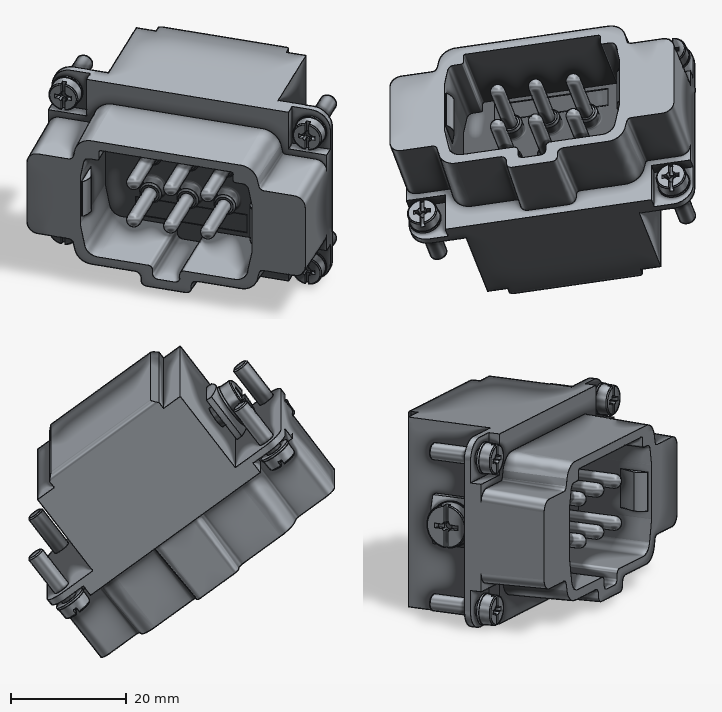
import cadquery as cq
import math


length = 50.4
height = 33.9
depth = 33.7
flange_thickness = 3.3
flange_corner_radius = 3.55
shroud_depth = 12.2
body_width = 30.75
body_back = 19.15
ridge_width = 23.6
ridge_back = depth - shroud_depth
ridge_bevel = 1.05

seat_length = 6.9
seat_height = 7.35
seat_depth = 2.05

draft_angle = 2.0
wing_half_height = 8.0
wing_corner_radius = 2.0
neck_root_x = 17.0
neck_root_radius = 0.9
crown_half_height = 12.4
crown_half_width = 16.0
crown_radius = 3.05
key_half_width = 4.55
key_bottom = 15.0
key_root_radius = 1.1
key_corner_radius = 1.0

cavity_floor = 2.0
cavity_half_width = 15.5
cavity_half_height = 10.75
cavity_straight = 4.85
cavity_wall_radius = 0.4
cavity_shoulder_x = 14.75
cavity_shoulder_z = 8.7
cavity_shoulder_radius = 1.15
cavity_step_x = 12.15
cavity_step_radius = 0.4
cavity_base_x = 14.35
cavity_base_radius = 2.35
keyway_half_width = 2.45
keyway_bottom = 13.25
keyway_root_radius = 0.8
keyway_corner_radius = 1.0

latch_half_height = 3.5
latch_crest_x = 14.45
latch_tip_x = 15.3
latch_ramp_start = -6.15
latch_crest_y = -9.3
latch_tip_y = -11.5

contact_pitch_x = 6.7
contact_pitch_z = 7.5
contact_diameter = 2.5
contact_tip = -10.75
collar_diameter = 4.0
collar_top_diameter = 3.3
collar_height = 2.25
collar_root_radius = 0.5
plate_length = 20.15
plate_height = 3.6
plate_center_z = 8.1
plate_recess = 0.2

screw_x = 22.1
screw_z = 13.5
screw_shank_diameter = 2.95
screw_end = 11.0
screw_end_chamfer = 0.25
screw_seat_y = 1.05
screw_head_diameter = 5.6
screw_head_height = 2.55
screw_slot_width = 0.7
screw_slot_depth = 0.95
screw_cross_length = 3.0

earth_y = 8.8
earth_shank_diameter = 4.0
earth_head_diameter = 8.0
earth_head_top = -21.25
earth_slot_width = 0.8
earth_slot_depth = 0.8
earth_cross_length = 4.55
clamp_size = 8.75
clamp_back = -16.6
clamp_edge_thickness = 1.05
clamp_thickness = 2.05

rim_height = 0.4
rim_step = 0.1
head_taper = 2.0
head_chamfer = 0.2
cross_end_slope = 0.4
drive_hole_diameter = 1.7
drive_hole_floor_diameter = 1.3
drive_hole_depth = 1.3

overlap = 0.5


def facing_front(y):
    """Workplane at the given Y whose extrusions run towards -Y."""
    return cq.Workplane("XZ", origin=(0, y, 0))


def rounded_outline(plane, corners):
    """Closed outline through (x, z, radius) corners, rounded by tangent arcs."""
    arcs = []
    for i, (x, z, radius) in enumerate(corners):
        corner = cq.Vector(x, z)
        before = cq.Vector(*corners[i - 1][:2])
        after = cq.Vector(*corners[(i + 1) % len(corners)][:2])
        to_before = (before - corner).normalized()
        to_after = (after - corner).normalized()
        half_angle = to_before.getAngle(to_after) / 2
        setback = radius / math.tan(half_angle)
        bisector = (to_before + to_after).normalized()
        middle = corner + bisector * (radius / math.sin(half_angle) - radius)
        start = corner + to_before * setback
        end = corner + to_after * setback
        arcs.append([(p.x, p.y) for p in (start, middle, end)])

    outline = plane.moveTo(*arcs[0][0]).threePointArc(*arcs[0][1:])
    for start, middle, end in arcs[1:]:
        outline = outline.lineTo(*start).threePointArc(middle, end)
    return outline.close()


def with_mirror(left_half):
    """Complete a left half of (x, z, radius) corners with its mirror image."""
    return left_half + [(-x, z, radius) for x, z, radius in reversed(left_half)]


def make_body():
    flange = facing_front(flange_thickness).rect(length, height).extrude(flange_thickness)
    flange = flange.edges("|Y").fillet(flange_corner_radius)
    block = facing_front(body_back).rect(body_width, height).extrude(body_back)

    ridge = facing_front(ridge_back).rect(ridge_width, height).extrude(ridge_back)
    ridge = ridge.faces(">Y").edges("|Z").chamfer(ridge_bevel)
    ridge = ridge.faces(">Y").edges("|X").fillet(ridge_bevel)
    return flange.union(block).union(ridge)


def make_seat_pockets():
    corners = (
        facing_front(seat_depth)
        .rect(length - seat_length, height - seat_height, forConstruction=True)
        .vertices()
    )
    return corners.rect(seat_length, seat_height).extrude(seat_depth + overlap)


def make_shroud():
    wing_reach = length / 2 + 2 * wing_corner_radius
    left_half = [
        (-key_half_width, -key_bottom, key_corner_radius),
        (-key_half_width, -crown_half_height, key_root_radius),
        (-crown_half_width, -crown_half_height, crown_radius),
        (-neck_root_x, -wing_half_height, neck_root_radius),
        (-wing_reach, -wing_half_height, wing_corner_radius),
        (-wing_reach, wing_half_height, wing_corner_radius),
        (-neck_root_x, wing_half_height, neck_root_radius),
        (-crown_half_width, crown_half_height, crown_radius),
    ]
    mating_end = cq.Workplane(cq.Plane((0, -shroud_depth, 0), xDir=(-1, 0, 0), normal=(0, 1, 0)))
    outline = rounded_outline(mating_end, with_mirror(left_half))
    shroud = outline.extrude(shroud_depth, taper=-draft_angle)
    limits = facing_front(0).rect(length, height).extrude(shroud_depth)
    shroud = shroud.intersect(limits)
    return shroud.faces("<X or >X").edges("not |Z").fillet(wing_corner_radius)


def make_cavity():
    left_half = [
        (-keyway_half_width, -keyway_bottom, keyway_corner_radius),
        (-keyway_half_width, -cavity_half_height, keyway_root_radius),
        (-cavity_base_x, -cavity_half_height, cavity_base_radius),
        (-cavity_half_width, -cavity_straight, cavity_wall_radius),
        (-cavity_half_width, cavity_straight, cavity_wall_radius),
        (-cavity_shoulder_x, cavity_shoulder_z, cavity_shoulder_radius),
        (-cavity_step_x, cavity_shoulder_z, cavity_step_radius),
        (-cavity_step_x, cavity_half_height, cavity_step_radius),
    ]
    outline = rounded_outline(facing_front(cavity_floor), with_mirror(left_half))
    return outline.extrude(cavity_floor + shroud_depth + overlap)


def make_number_plates():
    plates = facing_front(cavity_floor + plate_recess)
    plates = plates.pushPoints([(0, plate_center_z), (0, -plate_center_z)])
    return plates.rect(plate_length, plate_height).extrude(plate_recess + overlap)


def make_latch():
    """Bump on the +X cavity wall: a flat ramp, a crest and a rounded nose."""
    rise = latch_tip_x - latch_crest_x
    run = latch_crest_y - latch_tip_y
    nose_radius = (rise**2 + run**2) / (2 * rise)
    half_sweep = math.asin(run / nose_radius) / 2
    nose_middle = (
        latch_crest_x + nose_radius * (1 - math.cos(half_sweep)),
        latch_crest_y - nose_radius * math.sin(half_sweep),
    )
    root_x = cavity_half_width + overlap
    profile = (
        cq.Workplane("XY")
        .moveTo(root_x, latch_ramp_start)
        .lineTo(cavity_half_width, latch_ramp_start)
        .lineTo(latch_crest_x, latch_crest_y)
        .threePointArc(nose_middle, (latch_tip_x, latch_tip_y))
        .lineTo(root_x, latch_tip_y)
        .close()
    )
    return profile.extrude(latch_half_height, both=True)


def make_contact(x, z):
    """Round-nosed pin on a chamfered collar that flares into the cavity floor."""
    pin_radius = contact_diameter / 2
    collar_radius = collar_diameter / 2
    collar_top_radius = collar_top_diameter / 2
    collar_shoulder = collar_height - (collar_radius - collar_top_radius)
    flare = collar_root_radius * (1 - math.sqrt(0.5))
    pin_height = cavity_floor - contact_tip
    shoulder = pin_height - pin_radius
    profile = (
        cq.Workplane("XY")
        .moveTo(0, overlap)
        .lineTo(collar_radius + collar_root_radius, overlap)
        .lineTo(collar_radius + collar_root_radius, 0)
        .threePointArc((collar_radius + flare, -flare), (collar_radius, -collar_root_radius))
        .lineTo(collar_radius, -collar_shoulder)
        .lineTo(collar_top_radius, -collar_height)
        .lineTo(pin_radius, -collar_height)
        .lineTo(pin_radius, -shoulder)
        .threePointArc(
            (pin_radius * math.sqrt(0.5), -shoulder - pin_radius * math.sqrt(0.5)),
            (0, -pin_height),
        )
        .close()
    )
    return profile.revolve(360, (0, 0), (0, 1)).translate((x, cavity_floor, z))


def make_screw_head(diameter, head_height, slot_width, slot_depth, cross_length):
    """Cheese head along +Z from the origin: a full slot along X, a cross slot and a tapered hole."""
    rim_radius = diameter / 2
    neck_radius = rim_radius - rim_step
    top_radius = neck_radius - (head_height - rim_height) * math.tan(math.radians(head_taper))
    profile = (
        cq.Workplane("XZ")
        .moveTo(0, 0)
        .lineTo(rim_radius, 0)
        .lineTo(rim_radius, rim_height)
        .lineTo(neck_radius, rim_height)
        .lineTo(top_radius, head_height - head_chamfer)
        .lineTo(top_radius - head_chamfer, head_height)
        .lineTo(0, head_height)
        .close()
    )
    head = profile.revolve(360, (0, 0), (0, 1))

    top = cq.Workplane("XY", origin=(0, 0, head_height))
    slot = top.rect(diameter + overlap, slot_width).extrude(-slot_depth)
    hole = (
        top.circle(drive_hole_diameter / 2)
        .workplane(offset=-drive_hole_depth)
        .circle(drive_hole_floor_diameter / 2)
        .loft()
    )
    half_top = cross_length / 2
    half_floor = half_top - cross_end_slope
    cross = (
        cq.Workplane("YZ", origin=(0, 0, head_height))
        .polyline([(-half_top, 0), (half_top, 0), (half_floor, -slot_depth), (-half_floor, -slot_depth)])
        .close()
        .extrude(slot_width / 2, both=True)
    )
    return head.cut(slot).cut(cross).cut(hole)


def place_head(head, seat, outward):
    """Stand a screw head on its seat with its full slot along Z."""
    plane = cq.Plane(seat, xDir=(0, 0, 1), normal=outward)
    return head.val().moved(cq.Location(plane))


def make_mounting_screw(x, z):
    shank_length = screw_end - screw_seat_y
    shank = facing_front(screw_end).circle(screw_shank_diameter / 2).extrude(shank_length)
    shank = shank.faces(">Y").chamfer(screw_end_chamfer)
    head = make_screw_head(
        screw_head_diameter,
        screw_head_height,
        screw_slot_width,
        screw_slot_depth,
        screw_cross_length,
    )
    head = place_head(head, (0, screw_seat_y, 0), (0, -1, 0))
    return shank.union(head).translate((x, 0, z))


def make_earth_screw():
    clamp_edge = clamp_back - clamp_edge_thickness
    clamp_front = clamp_back - clamp_thickness
    half = clamp_size / 2
    clamp = (
        cq.Workplane("XZ", origin=(0, earth_y + half, 0))
        .moveTo(clamp_back, -half)
        .lineTo(clamp_edge, -half)
        .threePointArc((clamp_front, 0), (clamp_edge, half))
        .lineTo(clamp_back, half)
        .close()
        .extrude(clamp_size)
    )
    shank_start = -body_width / 2 + overlap
    shank = cq.Workplane("YZ", origin=(shank_start, earth_y, 0))
    shank = shank.circle(earth_shank_diameter / 2).extrude(clamp_front - shank_start)
    head = make_screw_head(
        earth_head_diameter,
        clamp_front - earth_head_top,
        earth_slot_width,
        earth_slot_depth,
        earth_cross_length,
    )
    head = place_head(head, (clamp_front, earth_y, 0), (-1, 0, 0))
    return clamp.union(shank).union(head)


result = make_body().cut(make_seat_pockets()).union(make_shroud())
result = result.cut(make_cavity()).cut(make_number_plates())

latch = make_latch()
result = result.union(latch).union(latch.mirror("YZ"))

for column in (-1, 0, 1):
    for row in (-0.5, 0.5):
        result = result.union(make_contact(column * contact_pitch_x, row * contact_pitch_z))

for side in (-1, 1):
    for level in (-1, 1):
        result = result.union(make_mounting_screw(side * screw_x, level * screw_z))

result = result.union(make_earth_screw())